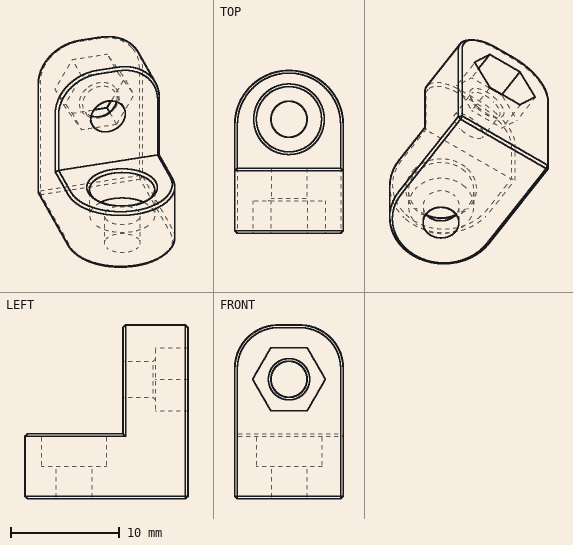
import cadquery as cq
import math

width = 10.0
length = 15.0
height = 16.0

base_thickness = 6.0
upright_thickness = 6.0
upright_corner_radius = 4.0
edge_chamfer = 0.25

screw_diameter = 3.3
base_hole_y = 10.5
upright_hole_z = 11.0

head_diameter = 6.0
head_depth = 3.0

nut_across_flats = 5.8
nut_across_corners = nut_across_flats / math.cos(math.pi / 6)
nut_depth = 3.0


def make_base():
    """Horizontal leg with a full-width rounded free end."""
    end_radius = width / 2
    straight_end = length - end_radius
    return (
        cq.Workplane("XY")
        .moveTo(-width / 2, 0)
        .lineTo(width / 2, 0)
        .lineTo(width / 2, straight_end)
        .threePointArc((0, length), (-width / 2, straight_end))
        .close()
        .extrude(base_thickness)
    )


def make_upright():
    """Vertical leg with two rounded top corners."""
    return (
        cq.Workplane("XY")
        .box(width, upright_thickness, height, centered=(True, False, False))
        .edges("|Y and >Z")
        .fillet(upright_corner_radius)
    )


def chamfer_outer_edges(body):
    """Bevel the outlines of the end faces of both legs, leaving the inner corner sharp."""
    base_top = cq.selectors.NearestToPointSelector((0, base_hole_y, base_thickness))
    margin = edge_chamfer / 2
    inner_corner = cq.selectors.BoxSelector(
        (-margin, upright_thickness - margin, base_thickness - margin),
        (margin, upright_thickness + margin, base_thickness + margin),
    )
    leg_outlines = (
        body.faces("|Y").edges()
        .add(body.faces("<Z").edges())
        .add(body.faces(base_top).edges())
    )
    return leg_outlines.edges(-inner_corner).chamfer(edge_chamfer)


def make_countersink(plane, diameter):
    """Cone that bevels the rim of a hole, narrowing along the plane normal."""
    return (
        cq.Workplane(plane)
        .circle(diameter / 2 + edge_chamfer)
        .workplane(offset=edge_chamfer)
        .circle(diameter / 2)
        .loft(ruled=True)
    )


def make_base_cutter():
    """Counterbored screw hole with a bevelled rim, running down through the base."""
    plane = cq.Plane(origin=(0, base_hole_y, base_thickness), xDir=(1, 0, 0), normal=(0, 0, -1))
    hole = cq.Workplane(plane).circle(screw_diameter / 2).extrude(base_thickness)
    head = cq.Workplane(plane).circle(head_diameter / 2).extrude(head_depth)
    return hole.union(head).union(make_countersink(plane, head_diameter))


def make_upright_cutter():
    """Nut pocket and screw hole with a bevelled rim on the pocket floor."""
    plane = cq.Plane(origin=(0, 0, upright_hole_z), xDir=(1, 0, 0), normal=(0, 1, 0))
    floor = cq.Plane(origin=(0, nut_depth, upright_hole_z), xDir=(1, 0, 0), normal=(0, 1, 0))
    hole = cq.Workplane(plane).circle(screw_diameter / 2).extrude(upright_thickness)
    nut = cq.Workplane(plane).polygon(6, nut_across_corners).extrude(nut_depth)
    return hole.union(nut).union(make_countersink(floor, screw_diameter))


bracket = make_base().union(make_upright()).clean()
bracket = chamfer_outer_edges(bracket)
result = bracket.cut(make_base_cutter()).cut(make_upright_cutter())